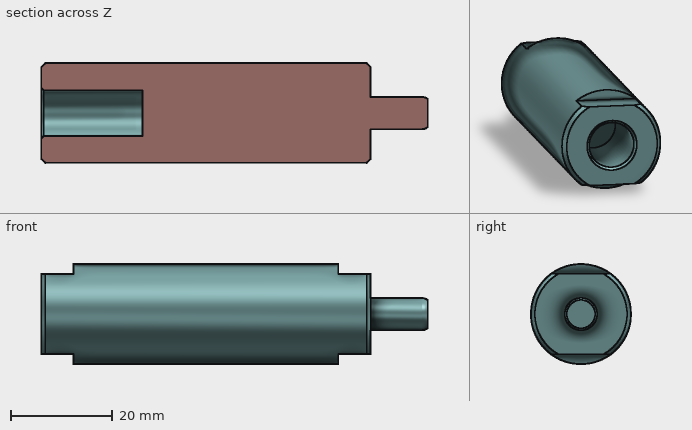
import cadquery as cq

body_length = 65.1
body_diameter = 19.84
body_chamfer = 0.8

flat_length = 6.35
across_flats = 15.875

overall_length = 76.4
stud_diameter = 6.4
stud_crown_length = 1.1
stud_crown_drop = 0.4

bore_diameter = 9.0
bore_depth = 20.0
bore_chamfer = 0.5


def make_body():
    bar = cq.Workplane("YZ").circle(body_diameter / 2).extrude(body_length)
    return bar.faces("<X or >X").chamfer(body_chamfer)


def make_flat_cutter(x_start, side):
    """Block removing everything beyond one flat; side is +1 (top) or -1 (bottom)."""
    block_height = body_diameter
    z_center = side * (across_flats + block_height) / 2
    block = cq.Workplane("XY").box(flat_length, body_diameter, block_height)
    return block.translate((x_start + flat_length / 2, 0, z_center))


def make_stud():
    stud_radius = stud_diameter / 2
    tip_radius = stud_radius - stud_crown_drop
    profile = (
        cq.Workplane("XY")
        .moveTo(body_length, 0)
        .lineTo(body_length, stud_radius)
        .lineTo(overall_length - stud_crown_length, stud_radius)
        .tangentArcPoint((overall_length, tip_radius), relative=False)
        .lineTo(overall_length, 0)
        .close()
    )
    return profile.revolve(360, (0, 0, 0), (1, 0, 0))


def make_bore_cutter():
    bore_radius = bore_diameter / 2
    profile = (
        cq.Workplane("XY")
        .lineTo(0, bore_radius + bore_chamfer)
        .lineTo(bore_chamfer, bore_radius)
        .lineTo(bore_depth, bore_radius)
        .lineTo(bore_depth, 0)
        .close()
    )
    return profile.revolve(360, (0, 0, 0), (1, 0, 0))


result = make_body()
for flat_start in (0, body_length - flat_length):
    for flat_side in (1, -1):
        result = result.cut(make_flat_cutter(flat_start, flat_side))
result = result.union(make_stud()).cut(make_bore_cutter())